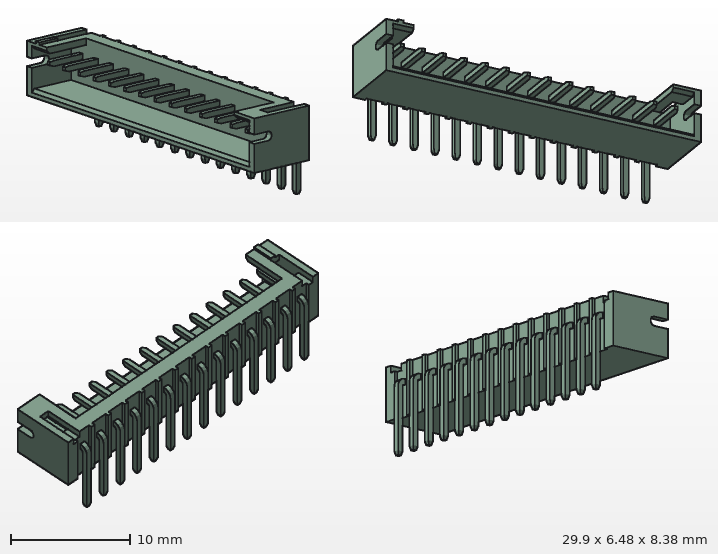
import cadquery as cq


length = 29.9
depth = 5.98
height = 4.78
side_wall = 0.65
rear_wall = 1.7
floor_thickness = 0.7
roof_thickness = 0.6
mouth_chamfer = 0.3

window_margin = 2.63
slot_width = 1.0
slot_length = 3.98

rib_width = 0.5
rib_height = 0.2

notch_width = 0.8
notch_length = 1.88
notch_drop = 1.82

pin_count = 14
pin_row_length = 25.98
pin_size = 0.5
pin_tip_size = 0.3
pin_taper = 0.35
pin_drop = 1.7
pin_setback = 0.78
leg_length = 3.4
bend_radius = 0.75

spacer_width = 0.4
relief_depth = 0.3

pitch = pin_row_length / (pin_count - 1)
pin_positions = [-pin_row_length / 2 + i * pitch for i in range(pin_count)]
pin_axis_z = height - pin_drop
slot_outer_x = length / 2 - side_wall
slot_inner_x = slot_outer_x - slot_width


def block(x_range, y_range, z_range):
    """Box spanning the given (low, high) limits."""
    limits = (x_range, y_range, z_range)
    sizes = [high - low for low, high in limits]
    corner = tuple(low for low, high in limits)
    return cq.Workplane("XY").box(*sizes, centered=False).translate(corner)


def make_cavity():
    """Plug cavity with a sloped lead-in on the floor and the roof at the mouth."""
    cavity_bottom = floor_thickness
    cavity_top = height - roof_thickness
    cavity_back = depth - rear_wall
    profile = [
        (0, cavity_bottom - mouth_chamfer),
        (mouth_chamfer, cavity_bottom),
        (cavity_back, cavity_bottom),
        (cavity_back, cavity_top),
        (mouth_chamfer, cavity_top),
        (0, cavity_top + mouth_chamfer),
    ]
    half_width = length / 2 - side_wall
    return cq.Workplane("YZ").polyline(profile).close().extrude(half_width, both=True)


def make_roof_openings():
    """Wide window open to the mouth, and a slot beside each side wall open to the rear."""
    roof = (height - roof_thickness, height)
    half_window = length / 2 - window_margin
    openings = block((-half_window, half_window), (0, depth - rear_wall), roof)
    slot = block((slot_inner_x, slot_outer_x), (depth - slot_length, depth), roof)
    return openings.union(slot).union(slot.mirror("YZ"))


def make_side_notches():
    """Round-ended notch running from the mouth through both side walls."""
    radius = notch_width / 2
    z = height - notch_drop
    return (
        cq.Workplane("YZ")
        .moveTo(0, z - radius)
        .lineTo(notch_length - radius, z - radius)
        .threePointArc((notch_length, z), (notch_length - radius, z + radius))
        .lineTo(0, z + radius)
        .close()
        .extrude(length / 2, both=True)
    )


def make_rear_reliefs():
    """Full-height relief behind each pin; the material left between them forms the spacers."""
    half_width = (pitch - spacer_width) / 2
    reliefs = cq.Workplane("XY")
    for x in pin_positions:
        relief = block((x - half_width, x + half_width), (depth - relief_depth, depth), (0, height))
        reliefs = reliefs.add(relief)
    return reliefs.combine()


def make_rib():
    """Low rib on the roof at the -X end, in front of the slot."""
    return block(
        (-slot_inner_x - rib_width, -slot_inner_x),
        (0, depth - slot_length),
        (height, height + rib_height),
    )


def tapered_tip(plane):
    """Truncated pyramid that closes a pin end, growing along the plane's normal."""
    return (
        cq.Workplane(plane)
        .rect(pin_size, pin_size)
        .workplane(offset=pin_taper)
        .rect(pin_tip_size, pin_tip_size)
        .loft()
    )


def make_pin():
    """Square pin at X = 0: contact arm along Y, rounded bend, solder leg down Z."""
    half = pin_size / 2
    top = pin_axis_z + half
    bottom = pin_axis_z - half
    arm_start = pin_setback + pin_taper
    leg_start = pin_taper - leg_length
    leg_back = depth + pin_size
    inner_radius = bend_radius - pin_size
    bar = (
        cq.Workplane("YZ")
        .moveTo(arm_start, top)
        .lineTo(leg_back - bend_radius, top)
        .radiusArc((leg_back, top - bend_radius), bend_radius)
        .lineTo(leg_back, leg_start)
        .lineTo(depth, leg_start)
        .lineTo(depth, bottom - inner_radius)
        .radiusArc((depth - inner_radius, bottom), -inner_radius)
        .lineTo(arm_start, bottom)
        .close()
        .extrude(half, both=True)
    )
    arm_tip = tapered_tip(cq.Plane((0, arm_start, pin_axis_z), (1, 0, 0), (0, -1, 0)))
    leg_tip = tapered_tip(cq.Plane((0, depth + half, leg_start), (1, 0, 0), (0, 0, -1)))
    return bar.union(arm_tip).union(leg_tip)


housing = block((-length / 2, length / 2), (0, depth), (0, height))
for opening in (make_cavity(), make_roof_openings(), make_side_notches(), make_rear_reliefs()):
    housing = housing.cut(opening)
housing = housing.union(make_rib())

pin = make_pin()
result = housing
for x in pin_positions:
    result = result.union(pin.translate((x, 0, 0)))